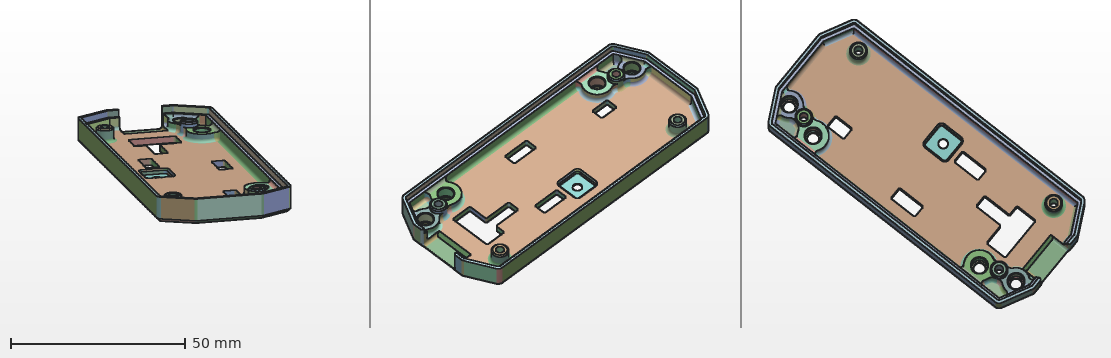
import cadquery as cq
import math

length, width, height = 95.0, 40.0, 7.5
side_flat_x = 42.4
end_flat_y = 10.0
corner_radius = 1.7
base_chamfer = 1.0

rim_thickness = 0.95
wall_thickness = 2.0
lip_depth = 2.0
floor_z = 2.0
ledge_z = height - lip_depth
blend = 1.0
post_corner_blend = 2.0
floor_blend = 0.95

post_x, rear_post_y, front_post_y = 35.9, 11.5, -13.6
post_diameter, post_top_diameter, post_hole_diameter = 5.0, 4.2, 2.4
post_top_z = 6.0
post_foot_blend = 1.0

boss_top_z = 4.5
outer_boss_x, outer_boss_y, outer_boss_radius = 41.7, 10.9, 4.0
inner_boss_x, inner_boss_y, inner_boss_radius = 30.6, 13.9, 4.6
boss_hole_diameter = 3.4
boss_bore_diameter, boss_bore_mouth_diameter = 4.6, 5.0
boss_bore_floor_z = 1.0

notch_floor_z = 0.71
notch_half_width = 6.5
notch_inner_x = -40.6
notch_ramp_run = 1.0
notch_edge_radius = 0.7
notch_floor_blend = 0.9

windows = [
    (-2.4, 11.9, 8.8, 4.0),
    (26.5, 6.7, 6.1, 4.0),
    (-9.8, -7.9, 8.8, 4.0),
]
window_radius = 0.5
window_cut_height = floor_z + floor_blend
tee_left_x, tee_step_x, tee_right_x = -34.6, -27.6, -18.5
tee_half_width = 7.0
tee_stem_y, tee_stem_width = -1.6, 4.0

recess_x, recess_y, recess_size = 0.6, -8.4, 8.9
recess_radius, recess_depth, recess_chamfer = 1.4, 1.5, 0.5
recess_hole_diameter = 2.8


def outline_prism(inset, bottom_z, top_z):
    """Eight-sided body outline moved inwards by inset and extruded."""
    half_x, half_y = length / 2, width / 2
    corners = [
        (half_x, end_flat_y), (side_flat_x, half_y), (-side_flat_x, half_y), (-half_x, end_flat_y),
        (-half_x, -end_flat_y), (-side_flat_x, -half_y), (side_flat_x, -half_y), (half_x, -end_flat_y),
    ]
    prism = cq.Workplane("XY").workplane(offset=bottom_z).polyline(corners).close()
    if inset:
        prism = prism.offset2D(-inset, "intersection")
    prism = prism.extrude(top_z - bottom_z)
    radius = corner_radius - inset
    return prism.edges("|Z").fillet(radius) if radius > 0 else prism


def cylinder(x, y, radius, bottom_z, top_z):
    return cq.Workplane("XY", origin=(x, y, bottom_z)).circle(radius).extrude(top_z - bottom_z)


def rounded_block(x, y, size_x, size_y, radius, bottom_z, top_z):
    block = cq.Workplane("XY", origin=(x, y, bottom_z)).rect(size_x, size_y).extrude(top_z - bottom_z)
    return block.edges("|Z").fillet(radius)


def end_wall_blend(side):
    """Rounded web that joins an outer boss to the end wall."""
    wall_x = length / 2 - wall_thickness
    arc_x = wall_x - blend
    reach = outer_boss_radius + blend
    boss_angle = math.acos((arc_x - outer_boss_x) / reach)
    arc_y = outer_boss_y - reach * math.sin(boss_angle)

    def on_arc(angle):
        return (arc_x + blend * math.cos(angle), arc_y + blend * math.sin(angle))

    start_angle = math.pi - boss_angle
    web = (
        cq.Workplane("XY", origin=(0, 0, floor_z))
        .moveTo(outer_boss_x, outer_boss_y)
        .lineTo(*on_arc(start_angle))
        .threePointArc(on_arc(start_angle / 2), on_arc(0))
        .lineTo(length / 2, arc_y)
        .lineTo(length / 2, outer_boss_y)
        .close()
        .extrude(ledge_z - floor_z)
    )
    return web if side > 0 else web.mirror("YZ")


def lower_cavity():
    """Space around the bosses and rear posts, rounded into the floor."""
    space = outline_prism(wall_thickness, floor_z, ledge_z)
    for side in (-1, 1):
        for x, y, radius in (
            (outer_boss_x, outer_boss_y, outer_boss_radius),
            (inner_boss_x, inner_boss_y, inner_boss_radius),
            (post_x, rear_post_y, post_diameter / 2),
        ):
            space = space.cut(cylinder(side * x, y, radius, floor_z, ledge_z))
        space = space.cut(end_wall_blend(side))

    slant_turn = math.atan2(width / 2 - end_flat_y, length / 2 - side_flat_x)
    outline_corner_x = side_flat_x - wall_thickness * math.tan(slant_turn / 2)

    def beside_post(edge):
        center = edge.Center()
        return math.hypot(abs(center.x) - post_x, center.y - rear_post_y) < post_diameter

    def beside_wall(edge):
        center = edge.Center()
        at_outline_corner = abs(abs(center.x) - outline_corner_x) < 0.1
        return center.y > outer_boss_y + outer_boss_radius / 2 and not at_outline_corner

    space = space.edges("|Z").filter(beside_post).fillet(post_corner_blend)
    space = space.edges("|Z").filter(beside_wall).fillet(blend)
    return space.faces("<Z").edges().fillet(floor_blend)


def upper_cavity():
    """Space over the bosses, rounded into the walls, with the wider lip recess on top."""
    over_bosses = outline_prism(wall_thickness, boss_top_z, ledge_z).faces("<Z").edges().fillet(floor_blend)
    return over_bosses.union(outline_prism(rim_thickness, ledge_z, height))


def shell():
    body = outline_prism(0, 0, height)
    body = body.faces("<Z").edges().chamfer(base_chamfer)
    return body.cut(lower_cavity()).cut(upper_cavity())


def post(x, y):
    """Chamfered screw post standing on the floor."""
    column = cylinder(x, y, post_diameter / 2, floor_z / 2, post_top_z)
    return column.faces(">Z").chamfer((post_diameter - post_top_diameter) / 2)


def post_foot(x, y):
    """Rounded flare around the base of a free-standing post."""
    flare_radius = post_diameter / 2 + post_foot_blend
    flare = cylinder(x, y, flare_radius, floor_z, floor_z + post_foot_blend)
    hollow = (
        cq.Workplane("XZ", origin=(x, y, floor_z + post_foot_blend))
        .center(flare_radius, 0)
        .circle(post_foot_blend)
        .revolve(360, (-flare_radius, 0), (-flare_radius, 1))
    )
    return flare.cut(hollow)


def boss_bore(x, y):
    """Through hole with a deep counterbore and a chamfered mouth."""
    mouth_depth = (boss_bore_mouth_diameter - boss_bore_diameter) / 2
    hole = cylinder(x, y, boss_hole_diameter / 2, 0, boss_top_z)
    bore = cylinder(x, y, boss_bore_diameter / 2, boss_bore_floor_z, ledge_z)
    mouth = cq.Workplane("XY", origin=(x, y, boss_top_z)).circle(boss_bore_mouth_diameter / 2)
    return hole.union(bore).union(mouth.extrude(-mouth_depth, taper=45))


def connector_notch():
    """Open notch through the end wall with a rounded entry and a sloped inner end."""
    outer_x = -length / 2
    outer_half = notch_half_width + notch_edge_radius
    bulge = notch_edge_radius * (1 - math.sqrt(0.5))
    entry_x = outer_x + notch_edge_radius
    notch = (
        cq.Workplane("XY", origin=(0, 0, notch_floor_z))
        .moveTo(outer_x, -outer_half)
        .threePointArc((outer_x + bulge, -notch_half_width - bulge), (entry_x, -notch_half_width))
        .lineTo(notch_inner_x, -notch_half_width)
        .lineTo(notch_inner_x, notch_half_width)
        .lineTo(entry_x, notch_half_width)
        .threePointArc((outer_x + bulge, notch_half_width + bulge), (outer_x, outer_half))
        .close()
        .extrude(height - notch_floor_z)
    )
    notch = notch.faces("<Z").edges(">X").chamfer(floor_z - notch_floor_z, notch_ramp_run)
    return notch.faces("<Z").edges("not(<X or >X)").fillet(notch_floor_blend)


def tee_opening():
    stem_top = tee_stem_y + tee_stem_width / 2
    stem_bottom = tee_stem_y - tee_stem_width / 2
    points = [
        (tee_left_x, -tee_half_width), (tee_step_x, -tee_half_width),
        (tee_step_x, stem_bottom), (tee_right_x, stem_bottom),
        (tee_right_x, stem_top), (tee_step_x, stem_top),
        (tee_step_x, tee_half_width), (tee_left_x, tee_half_width),
    ]
    tee = cq.Workplane("XY").polyline(points).close().extrude(window_cut_height)
    return tee.edges("|Z").fillet(window_radius)


def square_recess():
    """Square recess with a chamfered mouth and a central through hole."""
    lower_size = recess_size - 2 * recess_chamfer
    lower_radius = recess_radius - recess_chamfer
    well = rounded_block(
        recess_x, recess_y, lower_size, lower_size, lower_radius, floor_z - recess_depth, floor_z
    )
    mouth = rounded_block(
        recess_x, recess_y, recess_size, recess_size, recess_radius,
        floor_z - recess_chamfer, floor_z + recess_chamfer,
    )
    mouth = mouth.faces("<Z").edges().chamfer(recess_chamfer)
    hole = cylinder(recess_x, recess_y, recess_hole_diameter / 2, 0, floor_z)
    return well.union(mouth).union(hole)


result = shell()

for side in (-1, 1):
    result = result.union(post_foot(side * post_x, front_post_y))
    for post_y in (rear_post_y, front_post_y):
        result = result.union(post(side * post_x, post_y))
        result = result.cut(cylinder(side * post_x, post_y, post_hole_diameter / 2, 0, post_top_z))
    result = result.cut(boss_bore(side * outer_boss_x, outer_boss_y))
    result = result.cut(boss_bore(side * inner_boss_x, inner_boss_y))

result = result.cut(connector_notch())

for x, y, size_x, size_y in windows:
    result = result.cut(rounded_block(x, y, size_x, size_y, window_radius, 0, window_cut_height))
result = result.cut(tee_opening()).cut(square_recess())